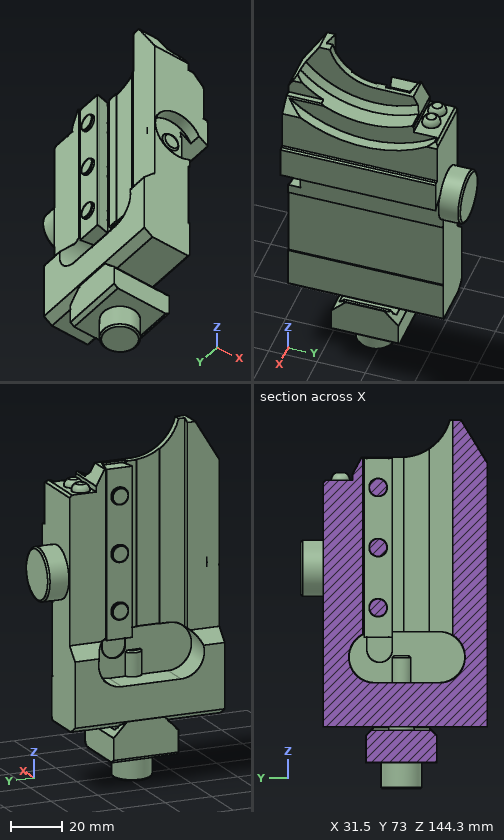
import cadquery as cq

HEIGHT = 144.3
BODY_WIDTH = 64.2
BACK_X = 5.2
FRONT_X = 22.5
LIP_X = 31.5
BODY_BOTTOM = 24.2
FOOT_TOP = 59.3
RELIEF_FACE_X = 22.0
LEDGE_Z = 124.2
HOOK_FACE_X = 29.5
STEP_Y = 52.8
FRONT_SLOPE_Z = 127.5
SHOULDER_Z = 120.8
SADDLE_Z = 129.7

SCOOP_Y = 33.8
SCOOP_Z = 160.8
SCOOP_NECK_RADIUS = 38.7
SCOOP_RADIUS = 41.3
SCOOP_OUTER_RADIUS = 49.2
SCOOP_START_X = 14.7
SCOOP_STEP_X = 24.8

CHANNEL_MOUTH = (13.7, 37.2)
CHANNEL_FLOOR = (12.1, 38.5)
CHANNEL_X = 11.4
RELIEF_X = 11.8
RELIEF_Y = (22.8, 32.8)
SLOT_WIDTH = 10.0
SLOT_X = 12.8
SLOT_Y = 42.1
SLOT_BOTTOM = 49.5
GIB_BOTTOM = 59.3
GIB_TOP = 129.3
GIB_FACE_X = 5.6
GIB_DEEP_X = 11.7
GIB_WALL_MOUTH_Y = 48.6
GIB_EDGE_Y = 48.2
GIB_LAND = 0.7
GIB_WALL_DEEP_Y = 47.2

GIB_SCREW_DIAMETER = 7.0
GIB_SCREW_Y = 42.7
GIB_SCREW_MID_Z = 94.4
GIB_SCREW_PITCH = 23.5
GIB_SCREW_FACE_X = 4.5
GIB_SCREW_CHAMFER = 0.3
ANCHOR_DEPTH = 1.5

WINDOW_LENGTH = 45.3
WINDOW_HEIGHT = 19.9
WINDOW_Y = 31.5
WINDOW_Z = 51.5
WINDOW_FLOOR_X = 12.3

KNOB_DIAMETER = 22.0
KNOB_X = 16.9
KNOB_Z = 86.3
KNOB_END_Y = 73.0
KNOB_POCKET_DIAMETER = 22.8
KNOB_POCKET_DEPTH = 5.2
BOLT_DIAMETER = 8.0
BOLT_END_Y = 4.3

CLAMP_X = 14.0
CLAMP_Y = 33.6
CLAMP_WIDTH = 27.8
CLAMP_HALF_DEPTH = 13.7
CLAMP_BOTTOM = 10.2
CLAMP_TOP = 26.8
CLAMP_SLOPE_Z = 20.8
CLAMP_TOP_WIDTH = 16.2
SCREW_HEAD_DIAMETER = 16.0
SHAFT_DIAMETER = 10.0
PIN_DIAMETER = 8.0
PIN_TOP = 52.1

BUTTON_X = (9.8, 16.9)
BUTTON_Y = 57.5
BUTTON_DIAMETER = 7.4
BUTTON_FLAT_DIAMETER = 3.9
BUTTON_HEIGHT = 2.9
BUTTON_BULGE_RADIUS = 3.2
BUTTON_BULGE_HEIGHT = 1.7

EDGE_CHAMFER = 0.7
SHOULDER_CHAMFER = 1.0
HOOK_CHAMFER = 5.2


def extrude_along_y(points, start, end):
    """Prism with an XZ outline between two Y positions."""
    return cq.Workplane("XZ", origin=(0, start, 0)).polyline(points).close().extrude(start - end)


def extrude_along_x(points, start, end):
    """Prism with a YZ outline between two X positions."""
    return cq.Workplane("YZ", origin=(start, 0, 0)).polyline(points).close().extrude(end - start)


def extrude_along_z(points, bottom, top):
    """Prism with an XY outline between two heights."""
    return cq.Workplane("XY", origin=(0, 0, bottom)).polyline(points).close().extrude(top - bottom)


def make_blank():
    """Side outline with hook and foot, trimmed to the stepped top outline."""
    side = extrude_along_y(
        [
            (0, 27.0), (4.0, BODY_BOTTOM), (21.6, BODY_BOTTOM), (FRONT_X, 25.3),
            (FRONT_X, 42.3), (RELIEF_FACE_X, 42.3), (RELIEF_FACE_X, 72.5), (FRONT_X, 72.5),
            (FRONT_X, 92.4), (RELIEF_FACE_X, 92.4), (RELIEF_FACE_X, 94.7),
            (LIP_X, 88.7), (LIP_X, 101.9), (30.6, 102.5), (HOOK_FACE_X, 102.5),
            (HOOK_FACE_X, LEDGE_Z - HOOK_CHAMFER), (HOOK_FACE_X - HOOK_CHAMFER, LEDGE_Z),
            (RELIEF_FACE_X, LEDGE_Z), (RELIEF_FACE_X, 130.5), (20.5, 132.8), (20.5, HEIGHT),
            (BACK_X, HEIGHT), (BACK_X, FOOT_TOP), (0, FOOT_TOP - BACK_X),
        ],
        0, BODY_WIDTH,
    )
    outline = (
        cq.Workplane("YZ")
        .moveTo(0, BODY_BOTTOM)
        .lineTo(BODY_WIDTH, BODY_BOTTOM)
        .lineTo(BODY_WIDTH, SHOULDER_Z - SHOULDER_CHAMFER)
        .lineTo(BODY_WIDTH - SHOULDER_CHAMFER, SHOULDER_Z)
        .lineTo(STEP_Y, SHOULDER_Z)
        .lineTo(STEP_Y, 123.1)
        .lineTo(49.2, SADDLE_Z)
        .lineTo(SCOOP_Y, SADDLE_Z)
        .tangentArcPoint((14.7, HEIGHT), relative=False)
        .lineTo(10.2, HEIGHT)
        .lineTo(0, FRONT_SLOPE_Z)
        .close()
        .extrude(LIP_X)
    )
    return side.intersect(outline)


def make_scoop():
    """Barrel clearance: conical neck, cylinder, then a wider cylinder."""
    neck_length = SCOOP_RADIUS - SCOOP_NECK_RADIUS
    return (
        cq.Workplane("XY")
        .moveTo(SCOOP_START_X, 0)
        .lineTo(SCOOP_START_X, SCOOP_NECK_RADIUS)
        .lineTo(SCOOP_START_X + neck_length, SCOOP_RADIUS)
        .lineTo(SCOOP_STEP_X, SCOOP_RADIUS)
        .lineTo(SCOOP_STEP_X, SCOOP_OUTER_RADIUS)
        .lineTo(LIP_X, SCOOP_OUTER_RADIUS)
        .lineTo(LIP_X, 0)
        .close()
        .revolve(360, (0, 0, 0), (1, 0, 0))
        .translate((0, SCOOP_Y, SCOOP_Z))
    )


def make_back_cuts():
    """Undercut channel, gib slot with a round lower end, and the foot window."""
    channel = extrude_along_z(
        [
            (BACK_X, CHANNEL_MOUTH[0]), (CHANNEL_X, CHANNEL_FLOOR[0]),
            (CHANNEL_X, RELIEF_Y[0]), (RELIEF_X, RELIEF_Y[0]),
            (RELIEF_X, RELIEF_Y[1]), (CHANNEL_X, RELIEF_Y[1]),
            (CHANNEL_X, GIB_WALL_DEEP_Y), (GIB_DEEP_X, GIB_WALL_DEEP_Y),
            (BACK_X, GIB_WALL_MOUTH_Y),
        ],
        WINDOW_Z, HEIGHT,
    )
    slot_height = HEIGHT - SLOT_BOTTOM
    slot = (
        cq.Workplane("YZ")
        .center(SLOT_Y, SLOT_BOTTOM + slot_height / 2)
        .slot2D(slot_height, SLOT_WIDTH, 90)
        .extrude(SLOT_X)
    )
    slot_top = (
        cq.Workplane("XY")
        .box(SLOT_X, SLOT_WIDTH, HEIGHT - GIB_BOTTOM, centered=(False, True, False))
        .translate((0, SLOT_Y, GIB_BOTTOM))
    )
    window = (
        cq.Workplane("YZ")
        .center(WINDOW_Y, WINDOW_Z)
        .slot2D(WINDOW_LENGTH, WINDOW_HEIGHT)
        .extrude(WINDOW_FLOOR_X)
    )
    return channel.union(slot).union(slot_top).union(window)


def make_gib():
    """Wedge bar lying in the slot, held by a row of screws."""
    gib = extrude_along_z(
        [
            (GIB_FACE_X, CHANNEL_MOUTH[1]), (GIB_FACE_X + GIB_LAND, CHANNEL_MOUTH[1]),
            (GIB_DEEP_X, CHANNEL_FLOOR[1]),
            (GIB_DEEP_X, GIB_WALL_DEEP_Y), (GIB_FACE_X, GIB_EDGE_Y),
        ],
        GIB_BOTTOM, GIB_TOP,
    )
    for step in (-1, 0, 1):
        screw_z = GIB_SCREW_MID_Z + step * GIB_SCREW_PITCH
        screw = (
            cq.Workplane("YZ", origin=(GIB_SCREW_FACE_X, GIB_SCREW_Y, screw_z))
            .circle(GIB_SCREW_DIAMETER / 2)
            .extrude(SLOT_X + ANCHOR_DEPTH - GIB_SCREW_FACE_X)
            .faces("<X")
            .chamfer(GIB_SCREW_CHAMFER)
        )
        gib = gib.union(screw)
    return gib


def cylinder_along_y(diameter, start, end):
    """Cylinder on the cross bolt axis between two Y positions."""
    return cq.Workplane("XZ", origin=(KNOB_X, start, KNOB_Z)).circle(diameter / 2).extrude(start - end)


def make_clamp():
    """Stepped jaw under the foot with its screw, which ends as a pin in the window."""
    half_outline = [
        (11.8, CLAMP_BOTTOM), (CLAMP_HALF_DEPTH, 11.7), (CLAMP_HALF_DEPTH, CLAMP_TOP),
        (11.8, 25.4), (10.7, 25.4), (10.7, 23.8), (9.8, 23.0),
    ]
    right_side = [(CLAMP_X + x, z) for x, z in half_outline]
    left_side = [(CLAMP_X - x, z) for x, z in reversed(half_outline)]
    half_width = CLAMP_WIDTH / 2
    jaw = extrude_along_y(right_side + left_side, CLAMP_Y - half_width, CLAMP_Y + half_width)
    front = extrude_along_x(
        [
            (CLAMP_Y - half_width, CLAMP_BOTTOM), (CLAMP_Y + half_width, CLAMP_BOTTOM),
            (CLAMP_Y + half_width, CLAMP_SLOPE_Z), (CLAMP_Y + CLAMP_TOP_WIDTH / 2, CLAMP_TOP),
            (CLAMP_Y - CLAMP_TOP_WIDTH / 2, CLAMP_TOP), (CLAMP_Y - half_width, CLAMP_SLOPE_Z),
        ],
        0, LIP_X,
    )
    axis = cq.Workplane("XY", origin=(CLAMP_X, CLAMP_Y, 0))
    head = axis.circle(SCREW_HEAD_DIAMETER / 2).extrude(CLAMP_BOTTOM).faces("<Z").chamfer(EDGE_CHAMFER)
    shaft = axis.circle(SHAFT_DIAMETER / 2).extrude(BODY_BOTTOM + ANCHOR_DEPTH)
    pin = axis.circle(PIN_DIAMETER / 2).extrude(PIN_TOP).faces(">Z").chamfer(EDGE_CHAMFER)
    return jaw.intersect(front).union(head).union(shaft).union(pin)


def make_button(x):
    """Domed screw head standing on the shoulder."""
    radius = BUTTON_DIAMETER / 2
    flat_radius = BUTTON_FLAT_DIAMETER / 2
    middle = (BUTTON_BULGE_RADIUS, BUTTON_BULGE_HEIGHT)
    return (
        cq.Workplane("XZ")
        .lineTo(radius, 0)
        .threePointArc(middle, (flat_radius, BUTTON_HEIGHT))
        .lineTo(0, BUTTON_HEIGHT)
        .close()
        .revolve(360, (0, 0, 0), (0, 1, 0))
        .translate((x, BUTTON_Y, SHOULDER_Z))
    )


knob = cylinder_along_y(KNOB_DIAMETER, BODY_WIDTH, KNOB_END_Y).faces(">Y").chamfer(EDGE_CHAMFER)
bolt = cylinder_along_y(BOLT_DIAMETER, BOLT_END_Y, BODY_WIDTH).faces("<Y").chamfer(EDGE_CHAMFER)

result = make_blank().cut(make_scoop()).cut(make_back_cuts())
result = result.cut(cylinder_along_y(KNOB_POCKET_DIAMETER, 0, KNOB_POCKET_DEPTH))
result = result.union(make_gib()).union(knob).union(bolt).union(make_clamp())
for x in BUTTON_X:
    result = result.union(make_button(x))